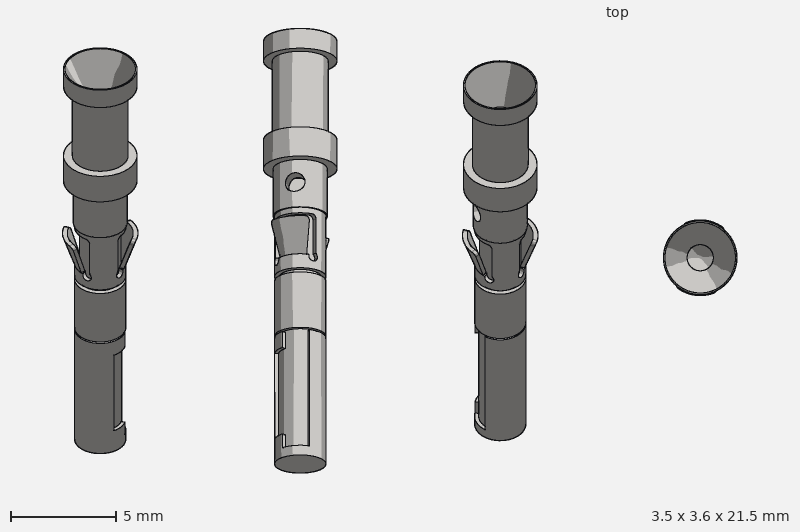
import cadquery as cq

LENGTH = 21.5

FLANGE_R = 1.752
BARREL_R = 1.33
NECK_R = 1.3
SLEEVE_R = 1.23
LATCH_CORE_R = 0.99
SOCKET_CORE_R = 1.03

BAND_TOP = 0.5
SOCKET_TOP = 6.4
COLLAR_BOTTOM = 6.5
COLLAR_TOP = 9.3
LATCH_BOTTOM = 9.52
LATCH_TOP = 12.6
FLANGE_BOTTOM = 15.0
FLANGE_TOP = 16.5
LIP_BOTTOM = 20.5

FUNNEL_R = 1.68
FUNNEL_DEPTH = 1.94
BORE_R = 0.62
BORE_POINT_DEPTH = 0.37
INSPECTION_R = 0.47
INSPECTION_Z = 13.87
BORE_FLOOR = INSPECTION_Z - INSPECTION_R

CUTTER_INNER_R = 0.65

LATCH_TURN = -7.0
WINDOW_HALF_ANGLE = 56.0
WINDOW_TOP = 12.32
WINDOW_CORNER_R = 0.22
RELIEF_HALF_ANGLE = 49.0
RELIEF_R = 0.24
RELIEF_Z = 10.17
TONGUE_HALF_ANGLE = 33.0
TONGUE_BASE = 10.23
TONGUE_TIP = 11.95
TONGUE_TIP_R = 1.8
TONGUE_CORNER_R = 0.22

GAP_START = 58.0
GAP_END = 122.0
SIDE_WINDOW_START = 16.0
SIDE_WINDOW_BOTTOM = 1.2
SIDE_WINDOW_TOP = 5.6


def revolved(points, start=0.0, sweep=360.0):
    """Solid swept counter-clockwise about Z by an (r, z) outline, starting at an angle from +X."""
    solid = cq.Workplane("XZ").polyline(points).close().revolve(sweep, (0, 0, 0), (0, 1, 0))
    return solid.rotate((0, 0, 0), (0, 0, 1), start)


def ring_sector(inner_r, outer_r, bottom, top, start, end):
    """Part of a ring between two angles, measured counter-clockwise from +X."""
    outline = [(inner_r, bottom), (outer_r, bottom), (outer_r, top), (inner_r, top)]
    return revolved(outline, start, end - start)


def turned_body():
    """Stepped pin with a bare core under the latch sleeve."""
    steps = [
        (SLEEVE_R, 0.0, SOCKET_TOP),
        (SOCKET_CORE_R, SOCKET_TOP, COLLAR_BOTTOM),
        (SLEEVE_R, COLLAR_BOTTOM, COLLAR_TOP),
        (LATCH_CORE_R, COLLAR_TOP, LATCH_TOP),
        (NECK_R, LATCH_TOP, FLANGE_BOTTOM),
        (FLANGE_R, FLANGE_BOTTOM, FLANGE_TOP),
        (BARREL_R, FLANGE_TOP, LIP_BOTTOM),
        (FLANGE_R, LIP_BOTTOM, LENGTH),
    ]
    outline = [(0.0, 0.0)]
    for radius, bottom, top in steps:
        outline += [(radius, bottom), (radius, top)]
    outline.append((0.0, LENGTH))
    return revolved(outline)


def wire_entry():
    """Funnel and bore, ending in a drill point."""
    return revolved([
        (0.0, LENGTH),
        (FUNNEL_R, LENGTH),
        (BORE_R, LENGTH - FUNNEL_DEPTH),
        (BORE_R, BORE_FLOOR),
        (0.0, BORE_FLOOR - BORE_POINT_DEPTH),
    ])


def inspection_hole():
    """Radial hole from the +Y side to the axis."""
    hole = cq.Workplane("XZ").center(0, INSPECTION_Z).circle(INSPECTION_R)
    return hole.extrude(-FLANGE_R)


def latch_window(middle):
    """Cutter for one window of the latch sleeve, with a round relief at each lower corner."""
    window = ring_sector(
        CUTTER_INNER_R, FLANGE_R, TONGUE_BASE, WINDOW_TOP,
        middle - WINDOW_HALF_ANGLE, middle + WINDOW_HALF_ANGLE,
    )
    window = window.faces(">Z").edges("%LINE").fillet(WINDOW_CORNER_R)
    for side in (-1, 1):
        relief = cq.Workplane("YZ").center(0, RELIEF_Z).circle(RELIEF_R).extrude(FLANGE_R)
        window = window.union(relief.rotate((0, 0, 0), (0, 0, 1), middle + side * RELIEF_HALF_ANGLE))
    return window


def tongue(middle):
    """Latch tongue leaning outward from the foot of its window, clear of the reliefs."""
    wall = SLEEVE_R - LATCH_CORE_R
    outline = [
        (LATCH_CORE_R, TONGUE_BASE),
        (SLEEVE_R, TONGUE_BASE),
        (TONGUE_TIP_R, TONGUE_TIP),
        (TONGUE_TIP_R - wall, TONGUE_TIP),
    ]
    blade = revolved(outline, middle - TONGUE_HALF_ANGLE, 2 * TONGUE_HALF_ANGLE)
    return blade.faces(">Z").edges("%LINE").fillet(TONGUE_CORNER_R)


def latch_sleeve():
    """Tube with a window on the -Y and +Y sides and a tongue leaning out of each."""
    sleeve = ring_sector(LATCH_CORE_R, SLEEVE_R, LATCH_BOTTOM, LATCH_TOP, 0, 360)
    for facing in (-90, 90):
        middle = facing + LATCH_TURN
        sleeve = sleeve.cut(latch_window(middle)).union(tongue(middle))
    return sleeve


def socket_opening():
    """Gap along the socket sleeve on the +Y side and the window beside it."""
    gap = ring_sector(SOCKET_CORE_R, FLANGE_R, BAND_TOP, SOCKET_TOP, GAP_START, GAP_END)
    window = ring_sector(
        SOCKET_CORE_R, FLANGE_R, SIDE_WINDOW_BOTTOM, SIDE_WINDOW_TOP, SIDE_WINDOW_START, GAP_END
    )
    return gap.union(window)


result = turned_body().cut(wire_entry()).cut(inspection_hole()).cut(socket_opening())
result = result.union(latch_sleeve())